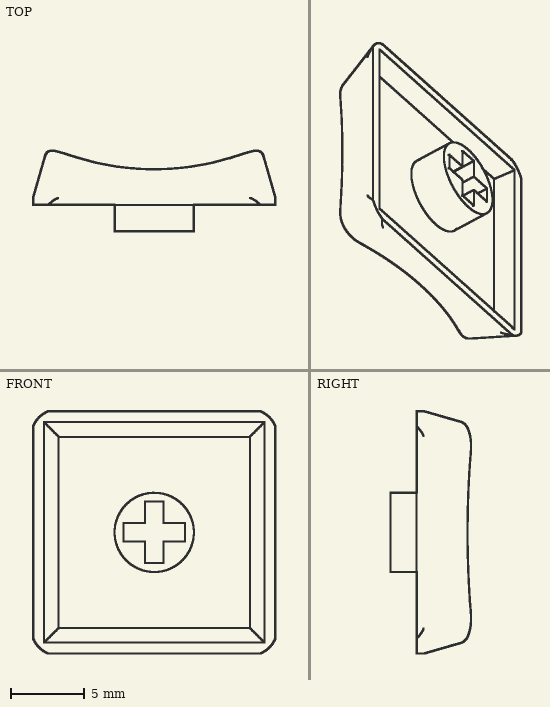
import cadquery as cq
import math

cap_width = 16.5
skirt_height = 0.5
side_draft = 16.0
corner_radius = 2.0
blank_height = 5.0

dish_floor = 1.97
dish_radius_x = 17.0
dish_radius_z = 60.0
rim_fillet = 0.45

cavity_width = 15.0
cavity_depth = 1.0
cavity_draft = 45.0

stem_diameter = 5.4
stem_drop = 1.8
stem_length = stem_drop + cavity_depth
cross_length = 4.2
cross_slot_width = 1.25
cross_depth = stem_length


def plane_at(height):
    """XZ sketch plane at the given Y whose normal points to +Y."""
    return cq.Workplane(cq.Plane(origin=(0, height, 0), xDir=(1, 0, 0), normal=(0, 1, 0)))


def tapered_blank():
    """Leaning square block with rounded corners, full width at the top of the skirt."""
    rim_width = cap_width + 2 * skirt_height * math.tan(math.radians(side_draft))
    block = plane_at(0).rect(rim_width, rim_width).extrude(blank_height, taper=side_draft)
    return block.edges("not(#Y or |X or |Z)").fillet(corner_radius)


def dish_cutter():
    """Torus whose outer side presses a shallow bowl, curved across both X and Z, into the top."""
    section = cq.Workplane("XY").center(0, dish_floor + dish_radius_x).circle(dish_radius_x)
    axis_offset = dish_radius_z - dish_radius_x
    return section.revolve(360, (0, axis_offset, 0), (1, axis_offset, 0))


def shell_body():
    """Dished body with a rounded top edge, a straight skirt and a hollow underside."""
    dished = tapered_blank().cut(dish_cutter())
    rounded = dished.faces("%TORUS").edges().fillet(rim_fillet)
    envelope = plane_at(0).rect(cap_width, cap_width).extrude(blank_height)
    cavity = plane_at(0).rect(cavity_width, cavity_width).extrude(cavity_depth, taper=cavity_draft)
    return rounded.intersect(envelope).cut(cavity)


def stem():
    """Round post from the hollow's floor down past the rim, with a cross-shaped socket."""
    post = plane_at(-stem_drop).circle(stem_diameter / 2).extrude(stem_length)
    bar_x = plane_at(-stem_drop).rect(cross_length, cross_slot_width).extrude(cross_depth)
    bar_z = plane_at(-stem_drop).rect(cross_slot_width, cross_length).extrude(cross_depth)
    return post.cut(bar_x).cut(bar_z)


result = shell_body().union(stem())